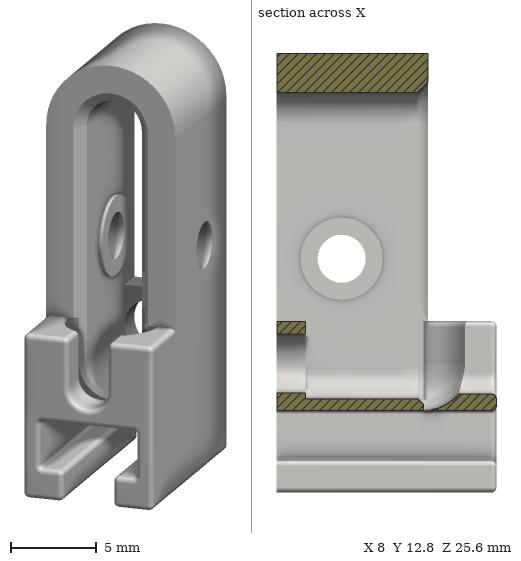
import cadquery as cq

width = 8.0
depth = 12.8
height = 25.62
outer_radius = width / 2
arch_z = height - outer_radius
nose_depth = 4.0
nose_height = 10.0
edge_radius = 0.3

window_width = 3.4
window_radius = window_width / 2
window_bottom_arc_z = 7.2
window_chamfer = 0.602
rear_bridge_thickness = 1.7
rear_hole_z = 7.53

axle_y = 9.02
axle_z = 13.63
axle_diameter = 2.8
boss_diameter = 4.8
boss_height = 0.23

pocket_radius = 2.72
pocket_y = 4.25
pocket_ball_z = 7.53
groove_radius = 1.23
groove_z = 7.0

slot_half_width = 3.0
slot_floor_z = 1.87
slot_ceiling_z = 4.8
slot_mouth_half_width = 1.56
slot_corner_radius = 0.2


def box(size_x, y_start, y_end, z_start, z_end):
    """Box centred on X between the given Y and Z limits."""
    block = cq.Workplane("XY").box(size_x, y_end - y_start, z_end - z_start, centered=(True, False, False))
    return block.translate((0, y_start, z_start))


def bar_along_y(radius, z, y_start, y_end):
    """Round bar on the X = 0 plane, parallel to Y."""
    bar = cq.Workplane("XZ").circle(radius).extrude(y_start - y_end)
    return bar.translate((0, y_start, z))


def obround(half_width, bottom_arc_z, y_start, y_end):
    """Upright rounded bar ending in the same centre as the outer arch."""
    middle = box(2 * half_width, y_start, y_end, bottom_arc_z, arch_z)
    top = bar_along_y(half_width, arch_z, y_start, y_end)
    return middle.union(top).union(bar_along_y(half_width, bottom_arc_z, y_start, y_end))


def make_t_slot():
    cavity = box(2 * slot_half_width, 0, depth, slot_floor_z, slot_ceiling_z)
    cavity = cavity.edges("|Y").fillet(slot_corner_radius)
    return cavity.union(box(2 * slot_mouth_half_width, 0, depth, 0, slot_floor_z + slot_corner_radius))


def cut_t_slot(body):
    """Cut the T-slot, then round its lips and the outer bottom edges."""
    body = body.cut(make_t_slot())
    lip_zone = cq.selectors.BoxSelector(
        (-slot_mouth_half_width - edge_radius, -0.25, -0.25),
        (slot_mouth_half_width + edge_radius, depth + 0.25, slot_floor_z + edge_radius),
    )
    lips = body.edges("|Y").edges(lip_zone).vals()
    outer_edges = body.edges("|Y").edges("<X or >X").edges("<Z").vals()
    return body.newObject(lips + outer_edges).fillet(edge_radius)


def make_pocket():
    """Front half of a vertical cylinder with a spherical bottom."""
    ball = cq.Workplane("XY").sphere(pocket_radius).translate((0, pocket_y, pocket_ball_z))
    shaft = (
        cq.Workplane("XY", origin=(0, pocket_y, pocket_ball_z))
        .circle(pocket_radius)
        .extrude(nose_height - pocket_ball_z)
    )
    return ball.union(shaft).intersect(box(width, 0, pocket_y, 0, nose_height))


def make_nose():
    nose = cut_t_slot(box(width, 0, nose_depth, 0, nose_height))
    groove = bar_along_y(groove_radius, groove_z, 0, pocket_y)
    groove = groove.union(box(2 * groove_radius, 0, pocket_y, groove_z, nose_height))
    nose = nose.cut(make_pocket()).cut(groove)
    rear_edges = [edge.hashCode() for edge in nose.faces(">Y").edges().vals()]
    rims = nose.faces("<Y or >Z").edges().vals()
    return nose.newObject([edge for edge in rims if edge.hashCode() not in rear_edges]).fillet(edge_radius)


def make_window():
    rear = depth - rear_bridge_thickness
    window = obround(window_radius, window_bottom_arc_z, nose_depth, depth)
    bridge = box(width, rear, depth, 0, nose_height)
    window = window.cut(bridge).union(bar_along_y(window_radius, rear_hole_z, rear, depth))
    mouth_start = nose_depth - window_chamfer
    mouth_end = nose_depth + window_chamfer
    mouth = obround(window_radius + window_chamfer, window_bottom_arc_z, mouth_start, mouth_end)
    return window.union(mouth.faces(">Y").chamfer(window_chamfer))


def make_bosses():
    """Spacer discs standing on both side walls of the window, around the axle."""
    discs = cq.Workplane("YZ").center(axle_y, axle_z).circle(boss_diameter / 2)
    discs = discs.extrude(window_radius, both=True)
    gap = box(window_width - 2 * boss_height, 0, depth, 0, height)
    return discs.cut(gap)


def make_tower():
    tower = cut_t_slot(box(width, nose_depth, depth, 0, arch_z))
    tower = tower.union(bar_along_y(outer_radius, arch_z, nose_depth, depth))
    tower = tower.cut(make_pocket()).cut(make_window()).union(make_bosses())
    axle_hole = cq.Workplane("YZ").center(axle_y, axle_z).circle(axle_diameter / 2).extrude(width, both=True)
    return tower.cut(axle_hole)


result = make_tower().union(make_nose()).clean()